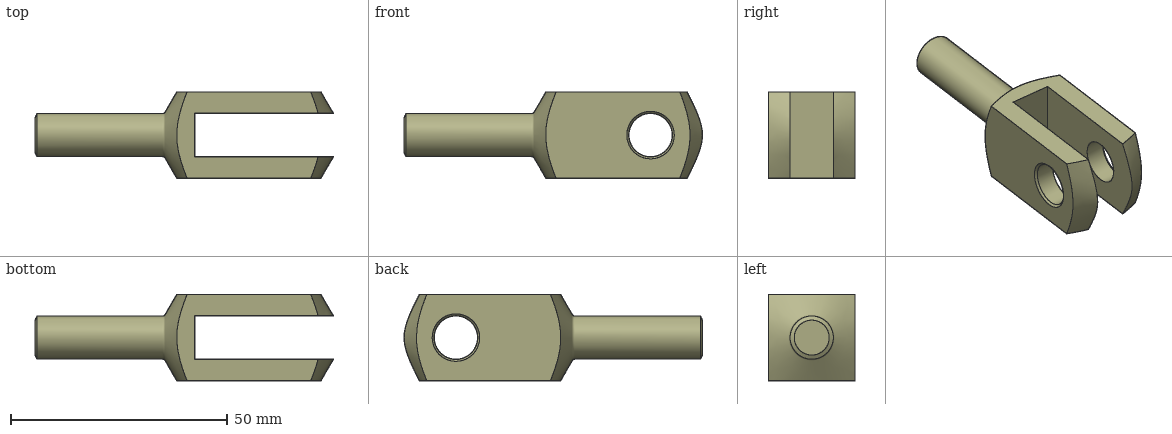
import cadquery as cq
import math

total_length = 69.0
body_width = 20.0
half_width = body_width / 2

cone_angle = math.radians(60)
cone_slope = math.tan(cone_angle)

stud_radius = 5.0
stud_chamfer_length = 0.5
stud_chamfer_depth = 1.0
neck_fillet = 0.7
body_start = 30.1
neck_radius = stud_radius + neck_fillet * (1 - math.cos(cone_angle))
neck_start = body_start - neck_fillet * math.sin(cone_angle)

slot_width = 10.0
slot_start = 37.0
pin_x = 57.0
pin_diameter = 10.0
pin_chamfer = 0.5

corner_radius = half_width * math.sqrt(2) + 0.7
back_cone_end = body_start + (corner_radius - neck_radius) / cone_slope
front_cone_start = total_length - (corner_radius - slot_width / 2) / cone_slope


def revolve_about_x(profile):
    return profile.revolve(360, (0, 0, 0), (1, 0, 0))


def make_stud():
    half_angle = cone_angle / 2
    fillet_middle = (
        neck_start + neck_fillet * math.sin(half_angle),
        stud_radius + neck_fillet * (1 - math.cos(half_angle)),
    )
    profile = (
        cq.Workplane("XY")
        .lineTo(0, stud_radius - stud_chamfer_depth)
        .lineTo(stud_chamfer_length, stud_radius)
        .lineTo(neck_start, stud_radius)
        .threePointArc(fillet_middle, (body_start, neck_radius))
        .lineTo(slot_start, neck_radius)
        .lineTo(slot_start, 0)
        .close()
    )
    return revolve_about_x(profile)


def make_body():
    bar = cq.Workplane("XY").box(
        total_length - body_start, body_width, body_width, centered=(False, True, True)
    ).translate((body_start, 0, 0))
    envelope_profile = cq.Workplane("XY").polyline([
        (body_start, 0),
        (body_start, neck_radius),
        (back_cone_end, corner_radius),
        (front_cone_start, corner_radius),
        (total_length, slot_width / 2),
        (total_length, 0),
    ]).close()
    return bar.intersect(revolve_about_x(envelope_profile))


def make_slot():
    return cq.Workplane("XY").box(
        total_length - slot_start, slot_width, body_width, centered=(False, True, True)
    ).translate((slot_start, 0, 0))


def make_pin_hole():
    """Cross hole along Y, chamfered at both outer faces."""
    pin_radius = pin_diameter / 2
    profile = cq.Workplane("XY").polyline([
        (pin_x, -half_width),
        (pin_x + pin_radius + pin_chamfer, -half_width),
        (pin_x + pin_radius, -half_width + pin_chamfer),
        (pin_x + pin_radius, half_width - pin_chamfer),
        (pin_x + pin_radius + pin_chamfer, half_width),
        (pin_x, half_width),
    ]).close()
    return profile.revolve(360, (pin_x, 0, 0), (pin_x, 1, 0))


result = make_body().union(make_stud()).cut(make_slot()).cut(make_pin_hole())